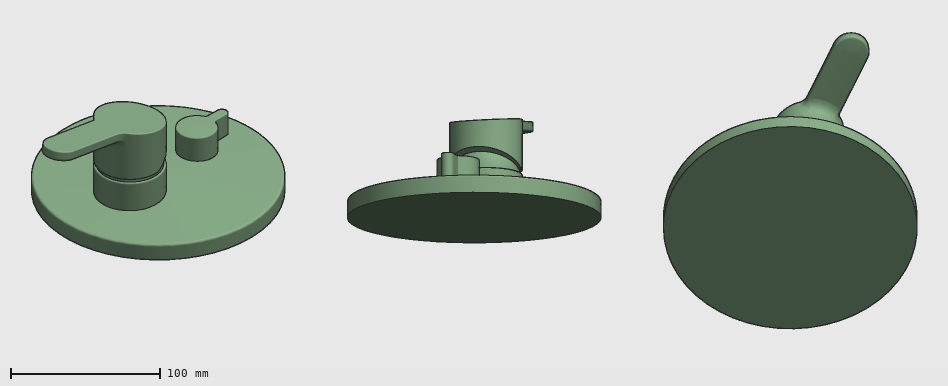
import cadquery as cq
import math

edge_tolerance = 0.1

plate_radius = 85.0
plate_edge_height = 12.0
plate_edge_fillet = 1.7
cone_angle = math.radians(1.7)
plate_center_height = plate_edge_height + plate_radius * math.tan(cone_angle)

valve_y = -28.0
collar_radius = 24.5
collar_top = 35
collar_fillet = 1.2
neck_radius = 22.7

handle_diameter = 48.7
handle_radius = handle_diameter / 2
handle_bottom = 37.8
handle_axis_height = 71.6
handle_tilt = math.radians(10)
relief_angle = math.radians(25)
handle_bottom_chamfer = 0.4
handle_top_fillet = 0.8

overall_length = 194
arm_width = 24.3
arm_side_thickness = 6.6
arm_belly_depth = 1.2
arm_lower_fillet = 1.5
arm_root_fillet = 7.8

knob_y = 38.2
knob_radius = 14.2
knob_height = 32.5
knob_fillet = 0.8
knob_rim_band = 1.2
pointer_width = 8.3
pointer_end_y = 67.3
pointer_bottom = 14.7
pointer_blend = 2.3


def cone_capped_disc(radius, center_height):
    """Solid of revolution about Z whose top falls away from its centre."""
    edge_height = center_height - radius * math.tan(cone_angle)
    profile = [(0, 0), (radius, 0), (radius, edge_height), (0, center_height)]
    return cq.Workplane("XZ").polyline(profile).close().revolve(360, (0, 0), (0, 1))


def make_plate():
    plate = cone_capped_disc(plate_radius, plate_center_height)
    rim = cq.selectors.BoxSelector(
        (-2 * plate_radius, -2 * plate_radius, plate_edge_height - edge_tolerance),
        (2 * plate_radius, 2 * plate_radius, plate_edge_height + edge_tolerance),
    )
    return plate.edges(rim).edges("%CIRCLE").fillet(plate_edge_fillet)


def make_collar():
    collar = cq.Workplane("XY").center(0, valve_y).circle(collar_radius).extrude(collar_top)
    collar = collar.faces(">Z").edges().fillet(collar_fillet)
    neck = cq.Workplane("XY").sphere(neck_radius).translate((0, valve_y, collar_top))
    return collar.union(neck)


def make_handle_body():
    """Upright cylinder cut to the tilted top and relieved below at the back."""
    back_bottom = handle_bottom + handle_radius * math.tan(relief_angle)
    back_top = handle_axis_height - handle_radius * math.tan(handle_tilt)
    front_top = handle_axis_height + handle_radius * math.tan(handle_tilt)
    side_profile = [
        (valve_y - handle_radius, handle_bottom),
        (valve_y, handle_bottom),
        (valve_y + handle_radius, back_bottom),
        (valve_y + handle_radius, back_top),
        (valve_y - handle_radius, front_top),
    ]
    prism = cq.Workplane("YZ").polyline(side_profile).close().extrude(handle_radius, both=True)
    cylinder = cq.Workplane("XY").center(0, valve_y).circle(handle_radius).extrude(front_top)
    return cylinder.intersect(prism)


def make_arm():
    """Round-ended arm lying under the tilted top plane, with a bulging belly."""
    tip_reach = overall_length - plate_radius + valve_y
    end_radius = arm_width / 2
    belly_edge_slope = 2 * math.atan(arm_belly_depth / end_radius)
    fillet_center_depth = arm_side_thickness - arm_lower_fillet * math.tan(math.pi / 4 - belly_edge_slope / 2)
    fillet_center_reach = tip_reach - arm_lower_fillet - fillet_center_depth * math.sin(handle_tilt)
    length = fillet_center_reach / math.cos(handle_tilt) + arm_lower_fillet
    straight_length = length - end_radius
    belly_radius = (end_radius**2 + arm_belly_depth**2) / (2 * arm_belly_depth)
    belly_bottom = -arm_side_thickness - arm_belly_depth

    half_section = (
        cq.Workplane("XZ")
        .lineTo(end_radius, 0)
        .lineTo(end_radius, -arm_side_thickness)
        .radiusArc((0, belly_bottom), belly_radius)
        .close()
    )
    tip = half_section.revolve(360, (0, 0), (0, 1)).translate((0, -straight_length, 0))
    full_section = (
        cq.Workplane("XZ")
        .moveTo(-end_radius, 0)
        .lineTo(end_radius, 0)
        .lineTo(end_radius, -arm_side_thickness)
        .threePointArc((0, belly_bottom), (-end_radius, -arm_side_thickness))
        .close()
    )
    arm = full_section.extrude(straight_length).union(tip)
    lower_corners = cq.selectors.BoxSelector(
        (-arm_width, -2 * length, -arm_side_thickness - edge_tolerance),
        (arm_width, -edge_tolerance, -arm_side_thickness + edge_tolerance),
    )
    arm = arm.edges(lower_corners).fillet(arm_lower_fillet)
    arm = arm.rotate((0, 0, 0), (1, 0, 0), -math.degrees(handle_tilt))
    return arm.translate((0, valve_y, handle_axis_height))


def blend_arm_root(handle):
    """Round the concave seam running around the sides and belly of the arm."""
    belly_bottom = handle_axis_height - arm_side_thickness - arm_belly_depth
    root_middle = (0, valve_y - handle_radius, belly_bottom + handle_radius * math.tan(handle_tilt))
    return handle.edges(cq.selectors.NearestToPointSelector(root_middle)).fillet(arm_root_fillet)


def make_handle():
    handle = blend_arm_root(make_handle_body().union(make_arm()))
    top_normal = cq.Vector(0, math.sin(handle_tilt), math.cos(handle_tilt))
    top_edges = handle.faces(cq.selectors.DirectionMinMaxSelector(top_normal, True)).edges()
    handle = top_edges.fillet(handle_top_fillet)
    return handle.faces("<Z").edges("%CIRCLE").chamfer(handle_bottom_chamfer)


def make_knob():
    """Round knob and its pointer, which clears the plate, under one shallow conical top."""
    pointer_end_radius = pointer_width / 2
    pointer_length = pointer_end_y - knob_y
    pointer = (
        cq.Workplane("XY", origin=(0, 0, pointer_bottom))
        .center(0, pointer_length / 2)
        .slot2D(pointer_length, pointer_width, 90)
        .extrude(knob_height - pointer_bottom)
    )
    barrel = (
        cq.Workplane("XY", origin=(0, 0, plate_edge_height))
        .circle(knob_radius)
        .extrude(knob_height - plate_edge_height)
    )
    knob = barrel.union(pointer)
    corner_y = math.sqrt(knob_radius**2 - pointer_end_radius**2)
    for side in (-1, 1):
        corner = (side * pointer_end_radius, corner_y, (pointer_bottom + knob_height) / 2)
        knob = knob.edges("|Z").edges(cq.selectors.NearestToPointSelector(corner)).fillet(pointer_blend)
    knob = knob.intersect(cone_capped_disc(2 * pointer_length, knob_height))
    top_rim = cq.selectors.BoxSelector(
        (-pointer_length, -pointer_length, knob_height - knob_rim_band),
        (pointer_length, pointer_length, knob_height - edge_tolerance),
    )
    return knob.edges(top_rim).fillet(knob_fillet).translate((0, knob_y, 0))


result = make_plate().union(make_collar()).union(make_handle()).union(make_knob())